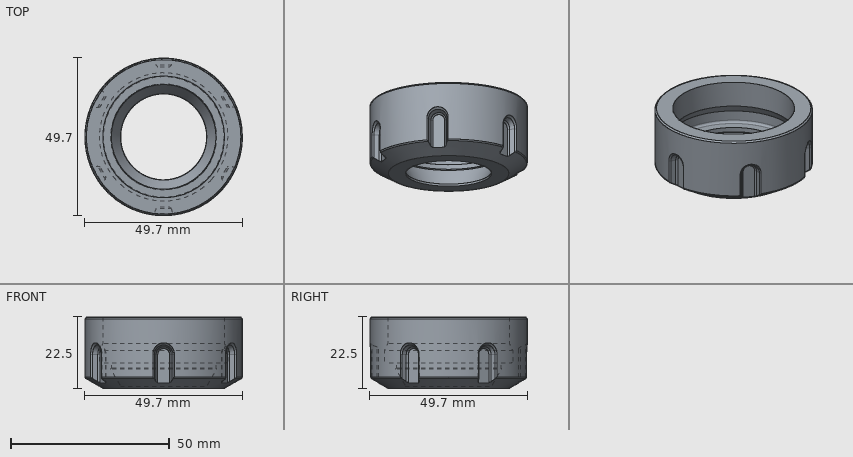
import cadquery as cq
import math

outer_radius = 49.7 / 2
height = 22.5
top_chamfer = 0.5
nose_radius = 19.0
nose_angle = 30.0
nose_edge_chamfer = 0.3
nose_height = (outer_radius - nose_radius) * math.tan(math.radians(nose_angle))

opening_radius = 27.1 / 2
opening_height = 0.7
seat_half_angle = 30.0
seat_top_radius = 16.72
seat_top_height = opening_height + (seat_top_radius - opening_radius) / math.tan(math.radians(seat_half_angle))
lip_radius = 33.0 / 2
lip_height = 1.5
shoulder_height = 8.0
relief_radius = 40.5 / 2
relief_fillet = 0.8
relief_top = 12.0
thread_radius = 38.38 / 2
thread_start = 14.2

slot_count = 6
first_slot_angle = 30.0
slot_arc_height = 10.78
slot_floor_radius = 22.1
slot_floor_half_width = 1.86
slot_floor_chamfer = 0.52
slot_wall_depth = 1.55
slot_wall_angle = 20.0
flare_overshoot = 1.0


def make_body():
    """Turned blank: cylinder with a chamfered top and a conical nose."""
    blank = (
        cq.Workplane("XZ")
        .lineTo(nose_radius, 0)
        .lineTo(outer_radius, nose_height)
        .lineTo(outer_radius, height)
        .lineTo(0, height)
        .close()
        .revolve(360, (0, 0, 0), (0, 1, 0))
    )
    blank = blank.faces("%CYLINDER").edges("<Z").chamfer(nose_edge_chamfer)
    return blank.faces(">Z").edges().chamfer(top_chamfer)


def make_bore():
    """Stepped bore: opening, conical seat, retaining lip, shoulder, relief groove, thread bore."""
    arc_inset = relief_fillet * (1 - math.sqrt(0.5))
    return (
        cq.Workplane("XZ")
        .lineTo(opening_radius, 0)
        .lineTo(opening_radius, opening_height)
        .lineTo(seat_top_radius, seat_top_height)
        .lineTo(lip_radius, shoulder_height - lip_height)
        .lineTo(lip_radius, shoulder_height)
        .lineTo(relief_radius - relief_fillet, shoulder_height)
        .threePointArc(
            (relief_radius - arc_inset, shoulder_height + arc_inset),
            (relief_radius, shoulder_height + relief_fillet),
        )
        .lineTo(relief_radius, relief_top)
        .lineTo(thread_radius, thread_start)
        .lineTo(thread_radius, height)
        .lineTo(0, height)
        .close()
        .revolve(360, (0, 0, 0), (0, 1, 0))
    )


def make_slot_cutter():
    """Cutter for the slot on +X: a flared profile, spun for the round end and run straight down."""
    wall_start_radius = slot_floor_radius + slot_floor_chamfer
    wall_start_half_width = slot_floor_half_width + slot_floor_chamfer
    wall_end_radius = wall_start_radius + slot_wall_depth
    wall_end_half_width = wall_start_half_width + slot_wall_depth * math.tan(math.radians(slot_wall_angle))
    flare_radius = outer_radius + flare_overshoot
    flare_half_width = wall_end_half_width + flare_radius - wall_end_radius
    one_side = [
        (slot_floor_radius, slot_floor_half_width),
        (wall_start_radius, wall_start_half_width),
        (wall_end_radius, wall_end_half_width),
        (flare_radius, flare_half_width),
    ]
    other_side = [(radius, -half_width) for radius, half_width in reversed(one_side)]
    axis_ends = [(flare_radius, 0), (slot_floor_radius, 0)]

    plane = cq.Workplane("XY", origin=(0, 0, slot_arc_height))
    round_end = plane.polyline(one_side + axis_ends).close().revolve(360, (0, 0, 0), (1, 0, 0))
    straight_run = plane.polyline(one_side + other_side).close().extrude(-slot_arc_height)
    return round_end.union(straight_run)


def cut_slots(body):
    """Cut the equally spaced slots around the outside."""
    cutter = make_slot_cutter()
    for index in range(slot_count):
        angle = first_slot_angle + index * 360 / slot_count
        body = body.cut(cutter.rotate((0, 0, 0), (0, 0, 1), angle))
    return body


result = cut_slots(make_body().cut(make_bore()))